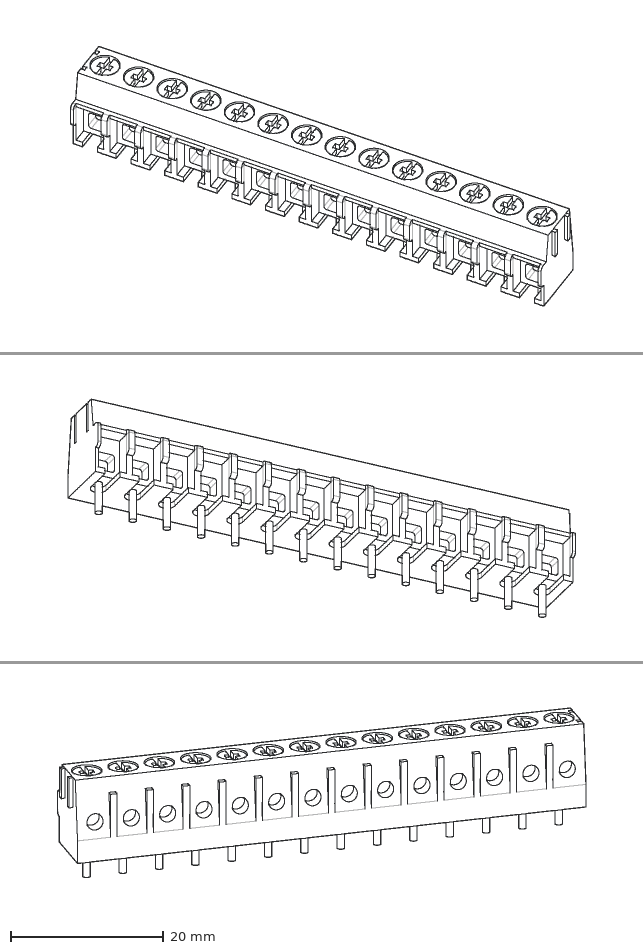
import cadquery as cq


pole_count = 14
pitch = 5.0
length = pole_count * pitch
pole_centers = [(i + 0.5) * pitch for i in range(pole_count)]
pole_boundaries = [i * pitch for i in range(pole_count + 1)]

total_depth = 9.0
total_height = 15.0
pin_length = 3.6
height = total_height - pin_length

base_depth = 8.25
back_y = base_depth / 2
front_y = back_y - base_depth
ledge_z = 7.2
back_slope_z = 3.2
back_taper = 1.0
top_depth = 6.0
front_taper = 0.55
top_back_y = back_y - back_taper
top_front_y = top_back_y - top_depth
ledge_back_y = top_front_y - front_taper

rib_width = 0.9
rib_front_y = back_y - total_depth
rib_bottom_z = 3.6
rib_fillet = 0.6
back_rib_top_z = 9.25

pocket_width = pitch - rib_width
pocket_depth = 2.1
floor_thickness = 0.8
pocket_top_z = ledge_z - rib_fillet
pocket_back_y = front_y + pocket_depth
opening_size = 2.6
opening_z = 3.0
opening_radius = 0.4
opening_depth = 2.0

pin_diameter = 1.0
pin_slot_width = 2.2

test_hole_diameter = 2.2
test_hole_z = 5.5
test_hole_depth = 2.0

screw_y = (top_back_y + top_front_y) / 2
screw_bore_diameter = 4.0
screw_head_diameter = 3.8
screw_bore_depth = 2.0
screw_recess = 0.2
driver_slot_width = 0.7
cross_slot_length = screw_head_diameter / 2
cross_slot_width = 0.8
driver_slot_depth = 0.8

tab_reach = 0.57
tab_spacing = 3.55
tab_root_width = 0.4
tab_tip_width = 0.7
tab_height = height - ledge_z


def box(x_min, x_max, y_min, y_max, z_min, z_max):
    """Box between the given limits."""
    size = (x_max - x_min, y_max - y_min, z_max - z_min)
    return cq.Workplane("XY").box(*size, centered=False).translate((x_min, y_min, z_min))


def rib_limits(x):
    """X limits of the rib at a pole boundary, kept within the block."""
    return max(x - rib_width / 2, 0), min(x + rib_width / 2, length)


def make_housing():
    """Tapered housing profile extruded along the row."""
    outline = [
        (back_y, 0),
        (back_y, back_slope_z),
        (top_back_y, height),
        (top_front_y, height),
        (ledge_back_y, ledge_z),
        (front_y, ledge_z),
        (front_y, 0),
    ]
    return cq.Workplane("YZ").polyline(outline).close().extrude(length)


def add_ribs(body):
    """Front ribs at every pole boundary, back ribs between poles only."""
    for x in pole_boundaries:
        x_min, x_max = rib_limits(x)
        front_rib = box(x_min, x_max, rib_front_y, pocket_back_y, rib_bottom_z, ledge_z)
        front_rib = front_rib.edges("|X and <Y").fillet(rib_fillet)
        body = body.union(front_rib)
    for x in pole_boundaries[1:-1]:
        x_min, x_max = rib_limits(x)
        back_rib = box(x_min, x_max, top_back_y, back_y, back_slope_z, back_rib_top_z)
        body = body.union(back_rib)
    return body


def make_pole_cavity(x):
    """Wire pocket, wire opening, pin slot and test hole of one pole."""
    half_pocket = pocket_width / 2
    half_slot = pin_slot_width / 2
    pocket = box(x - half_pocket, x + half_pocket, rib_front_y, pocket_back_y, floor_thickness, pocket_top_z)
    opening = (
        box(
            x - opening_size / 2,
            x + opening_size / 2,
            pocket_back_y,
            pocket_back_y + opening_depth,
            opening_z - opening_size / 2,
            opening_z + opening_size / 2,
        )
        .edges("|Y")
        .fillet(opening_radius)
    )
    slot = box(x - half_slot, x + half_slot, front_y, 0, 0, floor_thickness)
    slot_end = cq.Workplane("XY").center(x, 0).circle(half_slot).extrude(floor_thickness)
    test_hole = (
        cq.Workplane("XZ", origin=(x, back_y, test_hole_z))
        .circle(test_hole_diameter / 2)
        .extrude(test_hole_depth)
    )
    return pocket.union(opening).union(slot).union(slot_end).union(test_hole)


def make_screw(x):
    """Screw head with a cross recess, slightly below the housing top."""
    head_top = height - screw_recess
    slot_bottom = head_top - driver_slot_depth
    head_bottom = height - screw_bore_depth
    half_head = screw_head_diameter / 2
    half_cross = cross_slot_length / 2
    head = (
        cq.Workplane("XY", origin=(x, screw_y, head_bottom))
        .circle(half_head)
        .extrude(head_top - head_bottom)
    )
    long_slot = box(
        x - driver_slot_width / 2,
        x + driver_slot_width / 2,
        screw_y - half_head,
        screw_y + half_head,
        slot_bottom,
        head_top,
    )
    short_slot = box(
        x - half_cross,
        x + half_cross,
        screw_y - cross_slot_width / 2,
        screw_y + cross_slot_width / 2,
        slot_bottom,
        head_top,
    )
    return head.cut(long_slot).cut(short_slot)


def make_pin(x):
    """Round solder pin, rooted in the roof of its clearance slot."""
    return (
        cq.Workplane("XY", origin=(x, 0, -pin_length))
        .circle(pin_diameter / 2)
        .extrude(pin_length + floor_thickness)
    )


def make_dovetails(x):
    """Pair of dovetail bars that widen away from the plane at x towards +X."""
    bars = cq.Workplane("XY")
    for y in (screw_y - tab_spacing / 2, screw_y + tab_spacing / 2):
        outline = [
            (x, y - tab_root_width / 2),
            (x + tab_reach, y - tab_tip_width / 2),
            (x + tab_reach, y + tab_tip_width / 2),
            (x, y + tab_root_width / 2),
        ]
        bar = cq.Workplane("XY", origin=(0, 0, ledge_z)).polyline(outline).close().extrude(tab_height)
        bars = bars.add(bar)
    return bars.combine()


def make_screw_bore(x):
    """Round bore that holds one clamping screw."""
    return (
        cq.Workplane("XY", origin=(x, screw_y, height))
        .circle(screw_bore_diameter / 2)
        .extrude(-screw_bore_depth)
    )


def build():
    """Complete terminal block."""
    cavities = [make_pole_cavity(x).val() for x in pole_centers]
    bores = [make_screw_bore(x).val() for x in pole_centers]
    screws = [make_screw(x).val() for x in pole_centers]
    pins = [make_pin(x).val() for x in pole_centers]
    grooves = make_dovetails(0).vals()
    tabs = make_dovetails(length).vals()
    body = add_ribs(make_housing()).val()
    body = body.cut(*cavities, *bores, *grooves)
    body = body.fuse(*screws, *pins, *tabs)
    return cq.Workplane("XY").newObject(body.Solids())


result = build()